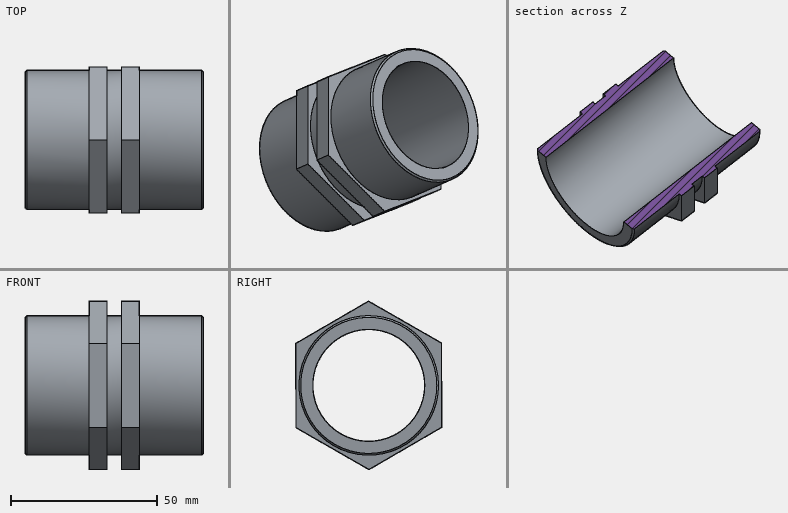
import math

import cadquery as cq

sleeve_length = 61.0
sleeve_diameter = 47.8
bore_diameter = 38.24
end_chamfer = 0.6

across_flats = 50.0
collar_width = 6.2
collar_gap = 4.8
hexagon_turn = 0.16

hexagon_sides = 6
across_corners = across_flats / math.cos(math.pi / hexagon_sides)


def make_cylinder(diameter):
    return cq.Workplane("YZ").circle(diameter / 2).extrude(sleeve_length / 2, both=True)


def make_sleeve():
    return make_cylinder(sleeve_diameter).faces("<X or >X").edges().chamfer(end_chamfer)


def make_collar(start_x):
    return (
        cq.Workplane("YZ")
        .polygon(hexagon_sides, across_corners)
        .extrude(collar_width)
        .rotate((0, 0, 0), (1, 0, 0), 90 + hexagon_turn)
        .translate((start_x, 0, 0))
    )


body = make_sleeve()
for collar_start in (-collar_gap / 2 - collar_width, collar_gap / 2):
    body = body.union(make_collar(collar_start))

result = body.cut(make_cylinder(bore_diameter))